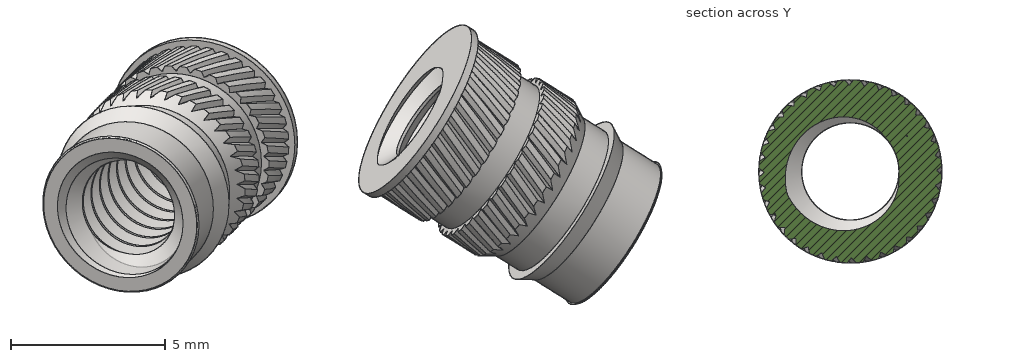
import cadquery as cq
import math


total_length = 7.92
flange_thickness = 0.26
lip_thickness = 0.06
barb_start = 1.54
barb_end = 2.12
knurl_cone_start = 3.05
knurl_cone_end = 3.62
groove_start = 4.90
groove_end = 5.81
flange_start = total_length - flange_thickness

flange_radius = 6.35 / 2
knurl_radius = 2.97
barb_radius = 2.97
pilot_radius = 2.645
lip_radius = 2.70
groove_radius = 2.715
band_inner_radius = 2.4

knurl_count = 36
knurl_depth = 0.165
knurl_width_angle = 5.4
knurl_twist_rate = 7.75
knurl_phase = 4.45

bore_radius = 1.57
countersink_radius = 2.17
countersink_depth = 0.60
thread_pitch = 25.4 / 32
thread_root_radius = 2.165
thread_flank_half_angle = 30.0
thread_runout_angle = 26.0
thread_runout_height = countersink_depth * (
    (countersink_radius - thread_root_radius) / (countersink_radius - bore_radius)
)
ridge_base_radius = bore_radius - 0.05


def polar(radius, degrees):
    angle = math.radians(degrees)
    return (radius * math.cos(angle), radius * math.sin(angle))


def revolve_profile(points):
    """Revolve (radius, height) points around the Z axis."""
    return cq.Workplane("XZ").polyline(points).close().revolve(360, (0, 0, 0), (0, 1, 0))


def make_plain_body():
    """Pilot with lip, barb, core under the knurls and flange."""
    return revolve_profile([
        (0, 0),
        (pilot_radius, 0),
        (lip_radius, lip_thickness),
        (pilot_radius, lip_thickness),
        (pilot_radius, barb_start),
        (barb_radius, barb_end),
        (pilot_radius, barb_end),
        (pilot_radius, knurl_cone_end),
        (groove_radius, knurl_cone_end),
        (groove_radius, flange_start),
        (flange_radius, flange_start),
        (flange_radius, total_length),
        (0, total_length),
    ])


def make_knurl_envelope():
    """Ring with the two bands before knurling, the lower one with a lead-in cone."""
    return revolve_profile([
        (band_inner_radius, knurl_cone_start),
        (pilot_radius, knurl_cone_start),
        (knurl_radius, knurl_cone_end),
        (knurl_radius, groove_start),
        (groove_radius, groove_start),
        (groove_radius, groove_end),
        (knurl_radius, groove_end),
        (knurl_radius, flange_start),
        (band_inner_radius, flange_start),
    ])


def make_knurl_prism():
    """Twisted prism whose section is a circle with V notches."""
    pitch_angle = 360 / knurl_count
    half_land = (pitch_angle - knurl_width_angle) / 2
    length = flange_start - knurl_cone_start
    first_land = knurl_phase - knurl_twist_rate * length
    root_radius = knurl_radius - knurl_depth
    section = cq.Workplane("XY").workplane(offset=knurl_cone_start)
    section = section.moveTo(*polar(knurl_radius, first_land - half_land))
    for i in range(knurl_count):
        land = first_land + i * pitch_angle
        section = section.threePointArc(polar(knurl_radius, land), polar(knurl_radius, land + half_land))
        section = section.lineTo(*polar(root_radius, land + pitch_angle / 2))
        if i < knurl_count - 1:
            section = section.lineTo(*polar(knurl_radius, land + pitch_angle - half_land))
    return section.close().twistExtrude(length, knurl_twist_rate * length)


def make_bore():
    """Through bore with a countersink at the tip."""
    return revolve_profile([
        (0, 0),
        (countersink_radius, 0),
        (bore_radius, countersink_depth),
        (bore_radius, total_length),
        (0, total_length),
    ])


def make_thread_cutter():
    """Right-hand helical ridge of V section, running past both ends of the bore."""
    base_half_width = (thread_root_radius - ridge_base_radius) * math.tan(math.radians(thread_flank_half_angle))
    turns = math.ceil(total_length / thread_pitch) + 2
    length = turns * thread_pitch

    def helix(radius, offset):
        wire = cq.Wire.makeHelix(thread_pitch, length, radius, center=cq.Vector(0, 0, offset))
        return wire.Edges()[0]

    corners = [
        helix(ridge_base_radius, -base_half_width),
        helix(thread_root_radius, 0),
        helix(ridge_base_radius, base_half_width),
    ]
    sides = [cq.Face.makeRuledSurface(corners[i - 1], corners[i]) for i in range(len(corners))]
    ends = []
    for position in (0, 1):
        points = [corner.positionAt(position) for corner in corners]
        ends.append(cq.Face.makeFromWires(cq.Wire.makePolygon(points, close=True)))
    ridge = cq.Solid.makeSolid(cq.Shell.makeShell(sides + ends))
    ridge = ridge.rotate(cq.Vector(0, 0, 0), cq.Vector(0, 0, 1), thread_runout_angle)
    return cq.Workplane(obj=ridge.translate(cq.Vector(0, 0, thread_runout_height - thread_pitch)))


core = make_plain_body().cut(make_bore()).cut(make_thread_cutter(), clean=False)
knurls = make_knurl_envelope().intersect(make_knurl_prism())
insert = core.union(knurls)
result = insert.rotate((0, 0, 0), (1, 0, 0), -90)